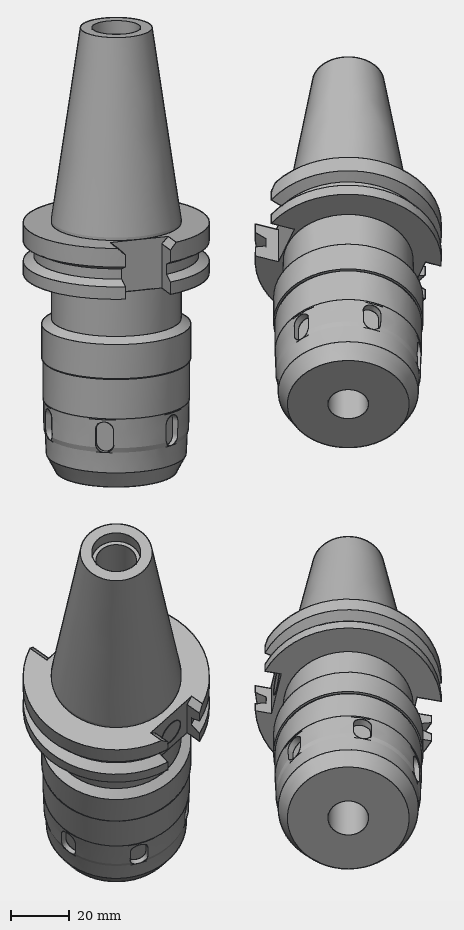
import cadquery as cq
import math

TOTAL_HEIGHT = 157.2
GAUGE_Z = 89.0
FLANGE_TOP_Z = 88.0
FLANGE_BOTTOM_Z = 70.0

TAPER_LARGE_RADIUS = 22.2
TAPER_SMALL_RADIUS = 12.3

FLANGE_RADIUS = 31.7
GROOVE_RADIUS = 28.1
GROOVE_FLOOR_TOP_Z = 79.7
GROOVE_FLOOR_BOTTOM_Z = 76.0
GROOVE_CHAMFER_HEIGHT = 1.7

DRIVE_SLOT_WIDTH = 16.3
DRIVE_SLOT_CHAMFER = 2.4
LEFT_SLOT_FLOOR = 25.0
RIGHT_SLOT_FLOOR = 22.3

RECESS_RADIUS = 4.9
RECESS_DEPTH = 0.2
RECESS_CENTER_Z = 78.0

NECK_RADIUS = TAPER_LARGE_RADIUS
COLLAR_RADIUS = 25.5
COLLAR_SHOULDER_Z = 52.0
COLLAR_BOTTOM_Z = 39.9
COLLAR_CONE_ANGLE = 30

NUT_RADIUS = 25.0
NUT_TOP_CHAMFER = 0.5
NUT_STEP_Z = 25.5
NUT_TAPER_TOP_Z = 25.0
NUT_TAPER_TOP_RADIUS = 24.8
NUT_TAPER_BOTTOM_Z = 15.0
NUT_TAPER_BOTTOM_RADIUS = 24.7
NOSE_TOP_Z = 13.2
NOSE_TOP_RADIUS = 24.2
NOSE_CHAMFER_Z = 6.0
NOSE_CHAMFER_RADIUS = 23.9
NOSE_FACE_RADIUS = 20.7

WRENCH_SLOT_COUNT = 6
WRENCH_SLOT_WIDTH = 6.3
WRENCH_SLOT_LENGTH = 11.0
WRENCH_SLOT_CENTER_Z = 18.7
WRENCH_SLOT_FLOOR = 22.3

BORE_RADIUS = 6.9
COUNTERBORE_RADIUS = 8.3
COUNTERBORE_DEPTH = 4.7


def turned_body():
    """Solid of revolution: nose, nut, collar, neck, grooved flange and taper."""
    cone_height = (COLLAR_RADIUS - NECK_RADIUS) * math.tan(math.radians(COLLAR_CONE_ANGLE))
    profile = [
        (0, 0),
        (NOSE_FACE_RADIUS, 0),
        (NOSE_CHAMFER_RADIUS, NOSE_CHAMFER_Z),
        (NOSE_TOP_RADIUS, NOSE_TOP_Z),
        (NUT_TAPER_BOTTOM_RADIUS, NUT_TAPER_BOTTOM_Z),
        (NUT_TAPER_TOP_RADIUS, NUT_TAPER_TOP_Z),
        (NUT_RADIUS, NUT_STEP_Z),
        (NUT_RADIUS, COLLAR_BOTTOM_Z - NUT_TOP_CHAMFER),
        (NUT_RADIUS - NUT_TOP_CHAMFER, COLLAR_BOTTOM_Z),
        (COLLAR_RADIUS, COLLAR_BOTTOM_Z),
        (COLLAR_RADIUS, COLLAR_SHOULDER_Z),
        (NECK_RADIUS, COLLAR_SHOULDER_Z + cone_height),
        (NECK_RADIUS, FLANGE_BOTTOM_Z),
        (FLANGE_RADIUS, FLANGE_BOTTOM_Z),
        (FLANGE_RADIUS, GROOVE_FLOOR_BOTTOM_Z - GROOVE_CHAMFER_HEIGHT),
        (GROOVE_RADIUS, GROOVE_FLOOR_BOTTOM_Z),
        (GROOVE_RADIUS, GROOVE_FLOOR_TOP_Z),
        (FLANGE_RADIUS, GROOVE_FLOOR_TOP_Z + GROOVE_CHAMFER_HEIGHT),
        (FLANGE_RADIUS, FLANGE_TOP_Z),
        (TAPER_LARGE_RADIUS, FLANGE_TOP_Z),
        (TAPER_LARGE_RADIUS, GAUGE_Z),
        (TAPER_SMALL_RADIUS, TOTAL_HEIGHT),
        (0, TOTAL_HEIGHT),
    ]
    return cq.Workplane("XZ").polyline(profile).close().revolve(360, (0, 0), (0, 1))


def drive_slot(floor_distance, side):
    """Cutter for a slot through the flange; side is -1 for -X and +1 for +X."""
    half_width = DRIVE_SLOT_WIDTH / 2
    chamfer_half_width = half_width + DRIVE_SLOT_CHAMFER
    chamfer_z = FLANGE_TOP_Z - DRIVE_SLOT_CHAMFER
    section = [
        (-half_width, FLANGE_BOTTOM_Z),
        (half_width, FLANGE_BOTTOM_Z),
        (half_width, chamfer_z),
        (chamfer_half_width, FLANGE_TOP_Z),
        (-chamfer_half_width, FLANGE_TOP_Z),
        (-half_width, chamfer_z),
    ]
    return (
        cq.Workplane("YZ", origin=(side * floor_distance, 0, 0))
        .polyline(section)
        .close()
        .extrude(side * FLANGE_RADIUS)
    )


def slot_floor_recess():
    """Cutter for the round recess in the floor of the -X drive slot."""
    return (
        cq.Workplane("YZ", origin=(-LEFT_SLOT_FLOOR, 0, RECESS_CENTER_Z))
        .circle(RECESS_RADIUS)
        .extrude(RECESS_DEPTH)
    )


def wrench_slot(angle):
    """Cutter for one round-ended, flat-floored slot, turned about Z from the -Y side."""
    return (
        cq.Workplane("XZ", origin=(0, -WRENCH_SLOT_FLOOR, WRENCH_SLOT_CENTER_Z))
        .slot2D(WRENCH_SLOT_LENGTH, WRENCH_SLOT_WIDTH, 90)
        .extrude(NUT_RADIUS)
        .rotate((0, 0, 0), (0, 0, 1), angle)
    )


def stepped_bore():
    """Cutter for the through bore with its counterbore at the small end of the taper."""
    bore = cq.Workplane("XY").circle(BORE_RADIUS).extrude(TOTAL_HEIGHT)
    counterbore = (
        cq.Workplane("XY", origin=(0, 0, TOTAL_HEIGHT))
        .circle(COUNTERBORE_RADIUS)
        .extrude(-COUNTERBORE_DEPTH)
    )
    return bore.union(counterbore)


result = turned_body()
result = result.cut(drive_slot(LEFT_SLOT_FLOOR, -1))
result = result.cut(drive_slot(RIGHT_SLOT_FLOOR, 1))
result = result.cut(slot_floor_recess())
for index in range(WRENCH_SLOT_COUNT):
    result = result.cut(wrench_slot(index * 360 / WRENCH_SLOT_COUNT))
result = result.cut(stepped_bore())